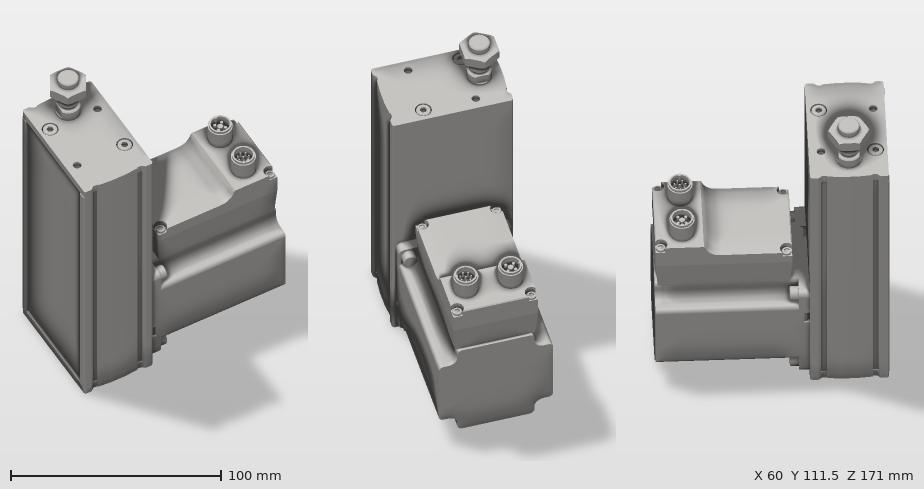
import cadquery as cq
import math


HOUSING_WIDTH = 60.0
HOUSING_HALF_WIDTH = HOUSING_WIDTH / 2
HOUSING_DEPTH = 38.0
HOUSING_HEIGHT = 146.2
PLATE_THICKNESS = 4.1
PLATE_SETBACK = 0.3
CORNER_CHAMFER = 0.9
LIP_DEPTH = 4.1
GROOVE_HALF_WIDTH = 28.5
GROOVE_START = 6.0
GROOVE_END = 8.0
BULGE_EDGE_HALF_WIDTH = 29.0
BULGE_HALF_WIDTH = 29.8
SLOT_START = 5.3
SLOT_HALF_WIDTH = 28.0
PANEL_HALF_WIDTH = 26.0
PANEL_RECESS = 1.5
MID_DEPTH = HOUSING_DEPTH / 2

SCREW_OFFSET = 13.0
SCREW_BORE_DIAMETER = 8.0
SCREW_BORE_DEPTH = 3.0
SCREW_HEAD_DIAMETER = 7.0
SCREW_HEAD_CHAMFER = 0.3
SCREW_SHANK_DIAMETER = 4.0
SCREW_SOCKET_FLATS = 3.0
SCREW_SOCKET_DEPTH = 2.0
TAPPED_HOLE_DIAMETER = 4.0
TAPPED_MOUTH_DIAMETER = 4.5
TAPPED_HOLE_DEPTH = 2.5

ROD_X = -18.5
ROD_TOP = 171
ROD_DIAMETER = 10.1
ROD_BASE_DIAMETER = 12
ROD_BASE_TOP = 152.0
ROD_NECK_DIAMETER = 8.0
ROD_NECK_TOP = 153.4
ROD_THREAD_BOTTOM = 154.2
ROD_CHAMFER = 0.5
ROD_FLATS = 10.1
ROD_FLATS_BOTTOM = 147.2
NUT_FLATS = 17.1
NUT_CHAMFER_DIAMETER = 18.0
NUT_BOTTOM = 162.0
NUT_TOP = 167.4
NUT_CHAMFER_ANGLE = 30

MOTOR_WIDTH = 56.6
MOTOR_BACK = 111.5
MOTOR_Z = PLATE_THICKNESS + MOTOR_WIDTH / 2
FLANGE_THICKNESS = 5.1
FLANGE_CORNER_RADIUS = 2.9
FLANGE_BACK = HOUSING_DEPTH + FLANGE_THICKNESS
MOTOR_SCREW_INSET = 4.6
SCALLOP_RADIUS = 4.6
SCALLOP_LIP = 2.4
MOTOR_SCREW_HEIGHT = 4.3
NOTCH_WIDTH = 6.8
NOTCH_LENGTH = 2.5
NOTCH_DEPTH = 0.9
NOTCH_RAMP_DEPTH = 2.5
NOTCH_RAMP_LENGTH = 1.5
NOTCH_OFFSET = 11.1

COVER_WIDTH = 41.9
COVER_HALF_WIDTH = COVER_WIDTH / 2
COVER_FRONT = 46.0
COVER_BACK = 111.2
COVER_PARTING = 75.8
COVER_TOP = 88.5
COVER_LOW_TOP = 83.3
COVER_TAPER = 4
COVER_CHAMFER = 0.5
STEP_EDGE = 88.0
STEP_SLOPE = 53
STEP_RADIUS = 7.4
CROWN_HALF_WIDTH = 10.6
CROWN_RADIUS = 60.9
COVER_SCREW_INSET = 2.5
COVER_POCKET_DIAMETER = 6.3
COVER_POCKET_DEPTH = 3.2
COVER_SCREW_DIAMETER = 4.5
COVER_SCREW_CHAMFER = 0.25
COVER_SCREW_HEIGHT = 1.4
COVER_SOCKET_FLATS = 2.5
COVER_SOCKET_DEPTH = 0.9

CONNECTOR_X = 11.1
CONNECTOR_Y = 98.2
CONNECTOR_DIAMETER = 12
CONNECTOR_RIM_DIAMETER = 10.8
CONNECTOR_BORE_DIAMETER = 9.0
CONNECTOR_SHOULDER = 98.0
CONNECTOR_TOP = 99.4
CONNECTOR_BORE_DEPTH = 6.0
PIN_HEIGHT = 4.3
LARGE_PIN_DIAMETER = 1.5
LARGE_PIN_OFFSET = 1.9
CENTRE_POST_DIAMETER = 2.7
KEY_DIAMETER = 1.5
SMALL_PIN_DIAMETER = 0.8
SMALL_PIN_CIRCLE_RADIUS = 2.7
SMALL_PIN_COUNT = 7


def cylinder(x, y, bottom, diameter, height):
    """Upright cylinder standing on the height `bottom`."""
    return cq.Workplane("XY", origin=(x, y, bottom)).circle(diameter / 2).extrude(height)


def hexagon(x, y, bottom, flats, height):
    """Upright hexagonal prism with two corners along X."""
    corners = flats / math.cos(math.pi / 6)
    return cq.Workplane("XY", origin=(x, y, bottom)).polygon(6, corners).extrude(height)


def box(x_range, y_range, z_range):
    sizes = [high - low for low, high in (x_range, y_range, z_range)]
    corner = (x_range[0], y_range[0], z_range[0])
    return cq.Workplane("XY", origin=corner).box(*sizes, centered=False)


def housing_section(front, bottom, height):
    """Housing outline, starting at the depth `front`, pulled up by `height`."""
    back = HOUSING_DEPTH
    chamfer_x = HOUSING_HALF_WIDTH - CORNER_CHAMFER
    half = (
        cq.Workplane("XY", origin=(0, 0, bottom))
        .moveTo(0, front)
        .lineTo(chamfer_x, front)
        .lineTo(HOUSING_HALF_WIDTH, CORNER_CHAMFER)
        .lineTo(HOUSING_HALF_WIDTH, LIP_DEPTH)
        .lineTo(GROOVE_HALF_WIDTH, GROOVE_START)
        .lineTo(GROOVE_HALF_WIDTH, GROOVE_END)
        .lineTo(BULGE_EDGE_HALF_WIDTH, GROOVE_END)
        .threePointArc((BULGE_HALF_WIDTH, MID_DEPTH), (BULGE_EDGE_HALF_WIDTH, back - GROOVE_END))
        .lineTo(GROOVE_HALF_WIDTH, back - GROOVE_END)
        .lineTo(GROOVE_HALF_WIDTH, back - GROOVE_START)
        .lineTo(HOUSING_HALF_WIDTH, back - LIP_DEPTH)
        .lineTo(HOUSING_HALF_WIDTH, back - CORNER_CHAMFER)
        .lineTo(chamfer_x, back)
        .lineTo(0, back)
        .close()
        .extrude(height)
    )
    return half.union(half.mirror("YZ"))


def make_profile():
    bottom = PLATE_THICKNESS
    top = HOUSING_HEIGHT - PLATE_THICKNESS
    profile = housing_section(0, bottom, top - bottom)
    profile = profile.cut(box((-PANEL_HALF_WIDTH, PANEL_HALF_WIDTH), (0, PANEL_RECESS), (bottom, top)))
    slots = ((SLOT_START, GROOVE_END), (HOUSING_DEPTH - GROOVE_END, HOUSING_DEPTH - SLOT_START))
    for slot_range in slots:
        for x_range in ((-HOUSING_HALF_WIDTH, -SLOT_HALF_WIDTH), (SLOT_HALF_WIDTH, HOUSING_HALF_WIDTH)):
            profile = profile.cut(box(x_range, slot_range, (bottom, top)))
    return profile


def make_bottom_plate():
    return housing_section(PLATE_SETBACK, 0, PLATE_THICKNESS)


def plate_corner(side):
    """A plate screw's place: right and back for side = 1, left and front for side = -1."""
    return side * SCREW_OFFSET, MID_DEPTH + side * SCREW_OFFSET


def tapped_hole(x, y, top):
    """Cutter for a blind hole with a chamfered mouth and a conical bottom."""
    radius = TAPPED_HOLE_DIAMETER / 2
    mouth_radius = TAPPED_MOUTH_DIAMETER / 2
    return (
        cq.Workplane("XZ", origin=(x, y, top))
        .moveTo(0, 0)
        .lineTo(mouth_radius, 0)
        .lineTo(radius, radius - mouth_radius)
        .lineTo(radius, -TAPPED_HOLE_DEPTH)
        .lineTo(0, -TAPPED_HOLE_DEPTH - radius / 2)
        .close()
        .revolve(360, (0, 0, 0), (0, 1, 0))
    )


def make_top_plate():
    top = HOUSING_HEIGHT
    bottom = top - PLATE_THICKNESS
    plate = housing_section(PLATE_SETBACK, bottom, PLATE_THICKNESS)
    plate = plate.cut(cylinder(ROD_X, MID_DEPTH, bottom, ROD_BASE_DIAMETER, PLATE_THICKNESS))
    for side in (-1, 1):
        x, y = plate_corner(side)
        plate = plate.cut(cylinder(x, y, bottom, SCREW_SHANK_DIAMETER, PLATE_THICKNESS))
        plate = plate.cut(cylinder(x, y, top - SCREW_BORE_DEPTH, SCREW_BORE_DIAMETER, SCREW_BORE_DEPTH))
        plate = plate.cut(tapped_hole(-x, y, top))
    return plate


def make_plate_screw(side):
    x, y = plate_corner(side)
    top = HOUSING_HEIGHT
    head = cylinder(x, y, top - SCREW_BORE_DEPTH, SCREW_HEAD_DIAMETER, SCREW_BORE_DEPTH)
    head = head.faces(">Z").chamfer(SCREW_HEAD_CHAMFER)
    head = head.cut(hexagon(x, y, top - SCREW_SOCKET_DEPTH, SCREW_SOCKET_FLATS, SCREW_SOCKET_DEPTH))
    shank = cylinder(x, y, top - PLATE_THICKNESS, SCREW_SHANK_DIAMETER, PLATE_THICKNESS - SCREW_BORE_DEPTH)
    return head.union(shank)


def make_rod():
    bottom = HOUSING_HEIGHT - PLATE_THICKNESS
    base_radius = ROD_BASE_DIAMETER / 2
    neck_radius = ROD_NECK_DIAMETER / 2
    radius = ROD_DIAMETER / 2
    rod = (
        cq.Workplane("XZ", origin=(ROD_X, MID_DEPTH, 0))
        .moveTo(0, bottom)
        .lineTo(base_radius, bottom)
        .lineTo(base_radius, ROD_BASE_TOP - ROD_CHAMFER)
        .lineTo(base_radius - ROD_CHAMFER, ROD_BASE_TOP)
        .lineTo(neck_radius, ROD_BASE_TOP)
        .lineTo(neck_radius, ROD_NECK_TOP)
        .lineTo(radius, ROD_THREAD_BOTTOM)
        .lineTo(radius, ROD_TOP - ROD_CHAMFER)
        .lineTo(radius - ROD_CHAMFER, ROD_TOP)
        .lineTo(0, ROD_TOP)
        .close()
        .revolve(360, (0, 0, 0), (0, 1, 0))
    )
    x_range = (ROD_X - base_radius, ROD_X + base_radius)
    z_range = (ROD_FLATS_BOTTOM, ROD_BASE_TOP)
    front_flat = box(x_range, (MID_DEPTH - base_radius, MID_DEPTH - ROD_FLATS / 2), z_range)
    back_flat = box(x_range, (MID_DEPTH + ROD_FLATS / 2, MID_DEPTH + base_radius), z_range)
    return rod.cut(front_flat).cut(back_flat)


def make_nut():
    height = NUT_TOP - NUT_BOTTOM
    blank = hexagon(0, 0, NUT_BOTTOM, NUT_FLATS, height).rotate((0, 0, 0), (0, 0, 1), 90)
    rim_radius = NUT_CHAMFER_DIAMETER / 2
    outer_radius = NUT_FLATS / math.sqrt(3)
    drop = (outer_radius - rim_radius) * math.tan(math.radians(NUT_CHAMFER_ANGLE))
    envelope = (
        cq.Workplane("XZ")
        .moveTo(0, NUT_BOTTOM)
        .lineTo(rim_radius, NUT_BOTTOM)
        .lineTo(outer_radius, NUT_BOTTOM + drop)
        .lineTo(outer_radius, NUT_TOP - drop)
        .lineTo(rim_radius, NUT_TOP)
        .lineTo(0, NUT_TOP)
        .close()
        .revolve(360, (0, 0, 0), (0, 1, 0))
    )
    nut = blank.intersect(envelope).cut(cylinder(0, 0, NUT_BOTTOM, ROD_DIAMETER, height))
    return nut.translate((ROD_X, MID_DEPTH, 0))


def motor_plane(y):
    """Plane across the motor axis at the depth y, extruding towards +Y."""
    plane = cq.Plane(origin=(0, y, MOTOR_Z), xDir=(-1, 0, 0), normal=(0, 1, 0))
    return cq.Workplane(plane)


def quarter_turns(shape):
    """Four copies of a shape, turned about the motor axis."""
    return [shape.rotate((0, 0, MOTOR_Z), (0, 1, MOTOR_Z), 90 * turn) for turn in range(4)]


def corner_scallop():
    """Cutter that clears one corner of the motor body around its screw."""
    edge = MOTOR_WIDTH / 2
    centre = edge - MOTOR_SCREW_INSET
    floor = centre - SCALLOP_RADIUS
    shoulder = edge - SCALLOP_LIP
    low = floor - SCALLOP_LIP
    diagonal = centre - SCALLOP_RADIUS * math.sqrt(0.5)
    bend = SCALLOP_LIP * math.sqrt(0.5)
    return (
        motor_plane(FLANGE_BACK)
        .moveTo(edge, low)
        .threePointArc((shoulder + bend, low + bend), (shoulder, floor))
        .lineTo(centre, floor)
        .threePointArc((diagonal, diagonal), (floor, centre))
        .lineTo(floor, shoulder)
        .threePointArc((low + bend, shoulder + bend), (low, edge))
        .lineTo(edge, edge)
        .close()
        .extrude(MOTOR_BACK - FLANGE_BACK)
    )


def motor_screw_head():
    centre = MOTOR_WIDTH / 2 - MOTOR_SCREW_INSET
    head = motor_plane(FLANGE_BACK).center(centre, centre)
    head = head.circle(SCREW_HEAD_DIAMETER / 2).extrude(MOTOR_SCREW_HEIGHT)
    return head.faces(">Y").chamfer(SCREW_HEAD_CHAMFER)


def flange_notch():
    """Shallow notch in the top edge of the flange, ramping down towards the housing."""
    top = MOTOR_Z + MOTOR_WIDTH / 2
    front = HOUSING_DEPTH
    outline = [
        (front, top),
        (front + NOTCH_LENGTH, top),
        (front + NOTCH_LENGTH, top - NOTCH_DEPTH),
        (front + NOTCH_RAMP_LENGTH, top - NOTCH_DEPTH),
        (front, top - NOTCH_RAMP_DEPTH),
    ]
    notch = cq.Workplane("YZ", origin=(NOTCH_OFFSET - NOTCH_WIDTH / 2, 0, 0)).polyline(outline).close()
    return notch.extrude(NOTCH_WIDTH)


def motor_body():
    flange = motor_plane(HOUSING_DEPTH).rect(MOTOR_WIDTH, MOTOR_WIDTH).extrude(FLANGE_THICKNESS)
    flange = flange.edges("|Y").fillet(FLANGE_CORNER_RADIUS)
    for notch in quarter_turns(flange_notch()):
        flange = flange.cut(notch)
    body = motor_plane(FLANGE_BACK).rect(MOTOR_WIDTH, MOTOR_WIDTH).extrude(MOTOR_BACK - FLANGE_BACK)
    for scallop in quarter_turns(corner_scallop()):
        body = body.cut(scallop)
    body = body.union(flange)
    for head in quarter_turns(motor_screw_head()):
        body = body.union(head)
    return body


def cover_base():
    """Lower part of the cover, narrowing towards the motor."""
    height = COVER_PARTING - MOTOR_Z - MOTOR_WIDTH / 2
    middle = (COVER_FRONT + COVER_BACK) / 2
    outline = cq.Workplane("XY", origin=(0, middle, COVER_PARTING))
    outline = outline.rect(COVER_WIDTH, COVER_BACK - COVER_FRONT)
    return outline.extrude(-height, taper=COVER_TAPER)


def step_tangent_point():
    """Depth and height where the step's flat slope runs into its concave foot."""
    slope = math.radians(STEP_SLOPE)
    z = COVER_LOW_TOP + STEP_RADIUS * (1 - math.cos(slope))
    y = STEP_EDGE - (COVER_TOP - z) / math.tan(slope)
    return y, z


def step_section(x):
    """Section of the space above the lower deck, with its concave end, on the plane at x."""
    foot = step_tangent_point()[0] - STEP_RADIUS * math.sin(math.radians(STEP_SLOPE))
    diagonal = STEP_RADIUS * math.sqrt(0.5)
    arc_top = COVER_LOW_TOP + STEP_RADIUS
    return (
        cq.Workplane("YZ", origin=(x, 0, 0))
        .moveTo(COVER_FRONT, COVER_LOW_TOP)
        .lineTo(foot, COVER_LOW_TOP)
        .threePointArc((foot + diagonal, arc_top - diagonal), (foot + STEP_RADIUS, arc_top))
        .lineTo(COVER_FRONT, arc_top)
        .close()
    )


def step_slope():
    """Cutter for the flat slope between the upper deck and the concave foot of the step."""
    tangent_y, tangent_z = step_tangent_point()
    outline = [(tangent_y, tangent_z), (STEP_EDGE, COVER_TOP), (tangent_y, COVER_TOP)]
    slope = cq.Workplane("YZ", origin=(-COVER_HALF_WIDTH, 0, 0)).polyline(outline).close()
    return slope.extrude(COVER_WIDTH)


def cover_step():
    """Cutter for the lower deck: flat in the middle, falling away at both sides."""
    middle = step_section(-CROWN_HALF_WIDTH).extrude(2 * CROWN_HALF_WIDTH)
    axis_height = COVER_LOW_TOP - CROWN_RADIUS
    side_angle = 15
    side = step_section(CROWN_HALF_WIDTH).revolve(side_angle, (0, axis_height, 0), (1, axis_height, 0))
    return middle.union(side).union(side.mirror("YZ"))


def cover_block():
    """Upper part of the cover, before its step, chamfered along the front and back edges."""
    outline = [
        (COVER_FRONT, COVER_PARTING),
        (COVER_BACK, COVER_PARTING),
        (COVER_BACK, COVER_TOP - COVER_CHAMFER),
        (COVER_BACK - COVER_CHAMFER, COVER_TOP),
        (COVER_FRONT + COVER_CHAMFER, COVER_TOP),
        (COVER_FRONT + COVER_CHAMFER, COVER_LOW_TOP),
        (COVER_FRONT, COVER_LOW_TOP - COVER_CHAMFER),
    ]
    block = cq.Workplane("YZ", origin=(-COVER_HALF_WIDTH, 0, 0)).polyline(outline).close()
    return block.extrude(COVER_WIDTH)


def cover_pocket(side, end, y, floor):
    """Round screw pocket, open towards the cover corner on the given side and end."""
    x = side * (COVER_HALF_WIDTH - COVER_SCREW_INSET)
    corner = box((0, COVER_POCKET_DIAMETER / 2), (0, COVER_POCKET_DIAMETER / 2), (0, COVER_POCKET_DEPTH))
    if side < 0:
        corner = corner.mirror("YZ")
    if end < 0:
        corner = corner.mirror("XZ")
    pocket = cylinder(x, y, floor, COVER_POCKET_DIAMETER, COVER_POCKET_DEPTH)
    return pocket.union(corner.translate((x, y, floor)))


def cover():
    upper = cover_block().cut(cover_step()).cut(step_slope())
    rows = (
        (-1, COVER_FRONT + COVER_SCREW_INSET, COVER_LOW_TOP - COVER_POCKET_DEPTH),
        (1, COVER_BACK - COVER_SCREW_INSET, COVER_TOP - COVER_POCKET_DEPTH),
    )
    for end, y, floor in rows:
        for side in (-1, 1):
            x = side * (COVER_HALF_WIDTH - COVER_SCREW_INSET)
            upper = upper.cut(cover_pocket(side, end, y, floor))
            upper = upper.union(cover_screw_head(x, y, floor))
    return upper.union(cover_base())


def cover_screw_head(x, y, floor):
    head = cylinder(x, y, floor, COVER_SCREW_DIAMETER, COVER_SCREW_HEIGHT)
    head = head.faces(">Z").chamfer(COVER_SCREW_CHAMFER)
    socket_floor = floor + COVER_SCREW_HEIGHT - COVER_SOCKET_DEPTH
    return head.cut(hexagon(x, y, socket_floor, COVER_SOCKET_FLATS, COVER_SOCKET_DEPTH))


def connector_shell(x, key_side):
    """Socket with a round key along its bore wall, on the given side in X."""
    shoulder_height = CONNECTOR_SHOULDER - COVER_TOP
    rim_height = CONNECTOR_TOP - CONNECTOR_SHOULDER
    bore_floor = CONNECTOR_TOP - CONNECTOR_BORE_DEPTH
    shell = cylinder(x, CONNECTOR_Y, COVER_TOP, CONNECTOR_DIAMETER, shoulder_height)
    shell = shell.union(cylinder(x, CONNECTOR_Y, CONNECTOR_SHOULDER, CONNECTOR_RIM_DIAMETER, rim_height))
    shell = shell.cut(cylinder(x, CONNECTOR_Y, bore_floor, CONNECTOR_BORE_DIAMETER, CONNECTOR_BORE_DEPTH))
    key_x = x + key_side * CONNECTOR_BORE_DIAMETER / 2
    return shell.union(cylinder(key_x, CONNECTOR_Y, bore_floor, KEY_DIAMETER, CONNECTOR_BORE_DEPTH))


def connector_pin(x, y_offset, diameter):
    """Contact pin on the socket floor, offset in Y from the line through both connectors."""
    return cylinder(x, CONNECTOR_Y + y_offset, CONNECTOR_TOP - CONNECTOR_BORE_DEPTH, diameter, PIN_HEIGHT)


def power_connector():
    """Left connector: four large pins around a centre post."""
    connector = connector_shell(-CONNECTOR_X, -1)
    connector = connector.union(connector_pin(-CONNECTOR_X, 0, CENTRE_POST_DIAMETER))
    for dx in (-LARGE_PIN_OFFSET, LARGE_PIN_OFFSET):
        for dy in (-LARGE_PIN_OFFSET, LARGE_PIN_OFFSET):
            connector = connector.union(connector_pin(-CONNECTOR_X + dx, dy, LARGE_PIN_DIAMETER))
    return connector


def signal_connector():
    """Right connector: a ring of small pins around a centre pin."""
    connector = connector_shell(CONNECTOR_X, 1)
    connector = connector.union(connector_pin(CONNECTOR_X, 0, SMALL_PIN_DIAMETER))
    for index in range(SMALL_PIN_COUNT):
        angle = math.pi + 2 * math.pi * index / SMALL_PIN_COUNT
        x = CONNECTOR_X + SMALL_PIN_CIRCLE_RADIUS * math.cos(angle)
        y = SMALL_PIN_CIRCLE_RADIUS * math.sin(angle)
        connector = connector.union(connector_pin(x, y, SMALL_PIN_DIAMETER))
    return connector


def make_motor():
    return motor_body().union(cover()).union(power_connector()).union(signal_connector())


profile = make_profile()
bottom_plate = make_bottom_plate()
top_plate = make_top_plate()
plate_screws = [make_plate_screw(side) for side in (-1, 1)]
rod = make_rod()
nut = make_nut()
motor = make_motor()

result = cq.Compound.makeCompound([
    profile.val(),
    bottom_plate.val(),
    top_plate.val(),
    *[screw.val() for screw in plate_screws],
    rod.val(),
    nut.val(),
    motor.val(),
])